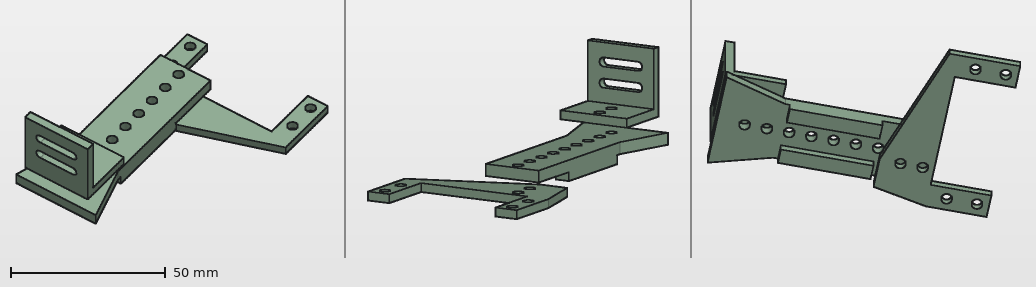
import cadquery as cq


hole_diameter = 3.5

beam_width = 20.0
beam_length = 71.5
beam_bottom = 8.0
beam_thickness = 4.0
foot_width = 31.75
foot_length = 20.4
runner_width = 5.0
runner_depth = 3.0
runner_start = 22.0
runner_length = 30.5

hole_count = 9
hole_pitch = 22.0 / 3.0
last_hole_to_end = 3.8
first_hole_y = beam_length - last_hole_to_end - (hole_count - 1) * hole_pitch
bracket_hole_count = 2
web_hole_count = 2

bracket_width = 25.0
bracket_depth = 20.0
bracket_thickness = 3.0
bracket_top = 40.0
bracket_height = 23.0
bracket_setback = 0.25
bracket_bottom = bracket_top - bracket_height
slot_length = 16.0
slot_width = 3.0
slot_pitch = 7.0
lower_slot_height = 9.5
slot_count = 2

fork_thickness = 3.0
arm_width = 8.0
arm_gap = 40.0
arm_length = 20.0
arm_hole_pitch = 10.0
arm_hole_to_tip = 4.0
arm_hole_count = 2
web_depth = 18.0
web_right_depth = 3.3
web_front_right_x = 0.4
overall_width = 58.19
fork_right_x = overall_width - foot_width / 2
fork_left_x = fork_right_x - arm_gap - 2 * arm_width
fork_tip_y = beam_length + arm_length


def vertical_holes(points, bottom, thickness):
    """Cylinders that cut round holes through a flat plate."""
    plane = cq.Workplane("XY").workplane(offset=bottom)
    return plane.pushPoints(points).circle(hole_diameter / 2).extrude(thickness)


def row_of_holes():
    """Centres of the holes along the beam, from front to back."""
    return [(0, first_hole_y + i * hole_pitch) for i in range(hole_count)]


def make_beam():
    half_beam = beam_width / 2
    half_foot = foot_width / 2
    outline = [
        (-half_foot, 0),
        (half_foot, 0),
        (half_beam, foot_length),
        (half_beam, beam_length),
        (-half_beam, beam_length),
        (-half_beam, foot_length),
    ]
    plate = cq.Workplane("XY").workplane(offset=beam_bottom)
    body = plate.polyline(outline).close().extrude(beam_thickness)

    runner_x = half_beam - runner_width / 2
    runner_y = runner_start + runner_length / 2
    runners = (
        cq.Workplane("XY")
        .workplane(offset=beam_bottom)
        .pushPoints([(-runner_x, runner_y), (runner_x, runner_y)])
        .rect(runner_width, runner_length)
        .extrude(-runner_depth)
    )
    holes = vertical_holes(row_of_holes(), beam_bottom, beam_thickness)
    return body.union(runners).cut(holes)


def make_bracket():
    front = bracket_setback
    back = front + bracket_depth
    upright_back = front + bracket_thickness
    shelf_top = bracket_bottom + bracket_thickness
    profile = [
        (front, bracket_bottom),
        (back, bracket_bottom),
        (back, shelf_top),
        (upright_back, shelf_top),
        (upright_back, bracket_top),
        (front, bracket_top),
    ]
    body = cq.Workplane("YZ").polyline(profile).close().extrude(bracket_width / 2, both=True)

    slot_heights = [bracket_bottom + lower_slot_height + i * slot_pitch for i in range(slot_count)]
    slots = (
        cq.Workplane("XZ", origin=(0, upright_back, 0))
        .pushPoints([(0, z) for z in slot_heights])
        .slot2D(slot_length, slot_width)
        .extrude(bracket_thickness)
    )
    holes = vertical_holes(row_of_holes()[:bracket_hole_count], bracket_bottom, bracket_thickness)
    return body.cut(slots).cut(holes)


def make_fork():
    inner_left_x = fork_left_x + arm_width
    inner_right_x = fork_right_x - arm_width
    web_front_y = beam_length - web_depth
    outline = [
        (-beam_width / 2, web_front_y),
        (web_front_right_x, web_front_y),
        (fork_right_x, beam_length - web_right_depth),
        (fork_right_x, fork_tip_y),
        (inner_right_x, fork_tip_y),
        (inner_right_x, beam_length),
        (inner_left_x, beam_length),
        (inner_left_x, fork_tip_y),
        (fork_left_x, fork_tip_y),
        (fork_left_x, beam_length),
    ]
    body = cq.Workplane("XY").polyline(outline).close().extrude(fork_thickness)

    arm_centres = (fork_left_x + arm_width / 2, fork_right_x - arm_width / 2)
    hole_rows = [fork_tip_y - arm_hole_to_tip - i * arm_hole_pitch for i in range(arm_hole_count)]
    arm_holes = [(x, y) for x in arm_centres for y in hole_rows]
    web_holes = row_of_holes()[-web_hole_count:]
    return body.cut(vertical_holes(arm_holes + web_holes, 0, fork_thickness))


beam = make_beam()
bracket = make_bracket()
fork = make_fork()

result = cq.Compound.makeCompound([beam.val(), bracket.val(), fork.val()])